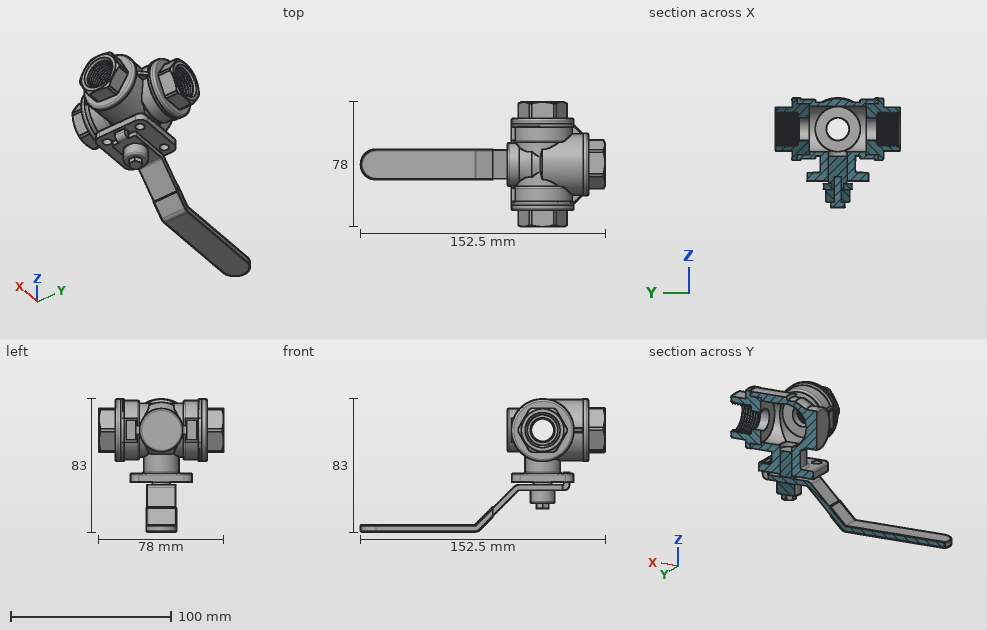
import cadquery as cq
import math


overall_length = 152.5
port_span = 78.0

cap_seat = 25.3
cap_flange_dia = 39.0
cap_flange_thick = 3.4
cap_flange_round = 1.4
hex_flats = 27.3
hex_corner_dia = 30.5
hex_half_sector = 30
hex_end_dia = 26.5
hex_chamfer_length = 1.0
side_port_tilt = -3.5
spigot_dia = 31.5
spigot_length = 7.6
port_bore_dia = 14.0
port_bore_mouth_dia = 15.2
thread_minor_dia = 19.0
thread_major_dia = 20.9
thread_entry_dia = 21.8
thread_pitch = 1.8
thread_turns = 7
thread_lead_in = 1.4

chamber_dia = 28.0
waist_dia = 33.5
barrel_dia = 37.0
barrel_inner_end = 13.7
barrel_round = 1.2
rim_width = 2.3
rim_round = 0.9
side_barrel_dia = 38.5
side_barrel_start = -0.3
side_barrel_taper = 1.4
boss_dia = 27.0
boss_face = 22.0
boss_shoulder = 14.5
boss_round = 1.0
boss_root_dia = 34.6
boss_root_start = 6.7
plate_face = 19.7
plate_height = 15.1
plate_panel_height = 12.2
plate_panel_width = 6.0
plate_panel_depth = 0.3
plate_inner_end = 15.0
bridge_height = 5.2
web_thick = 3.2
web_edge_bevel = 0.5
web_outer = 24.5
web_inner = 19.5
neck_dia = 22.1
neck_round = 1.4
mount_top = -27.0
mount_size = 38.6
mount_thick = 5.5
mount_corner = 5.2
mount_edge_round = 0.9
mount_hole_dia = 6.0
mount_hole_pitch = 25.5

stem_dia = 11.5
stem_top = -16.8
tang_dia = 8.0
collar_dia = 15.4
collar_length = 8.1
collar_round = 1.2
screw_dia = 4.3
screw_engagement = 7.6
screw_head_flats = 8.0
screw_head_height = 3.4
screw_head_chamfer = 0.5

lever_top = -34.0
lever_thick = 3.5
lever_width = 18.0
lever_bend_angle = 45
lever_upper_corner = -16.5
lever_lower_corner = -42.0
upper_bend_radius = 1.5
lower_bend_radius = 0.6
grip_wall = 0.53
grip_start = -31.1
grip_edge_round = 1.0
lever_shoulder = 12.7
lever_shoulder_round = 0.9
stop_width = 7.6
stop_inner = 13.1
stop_thick = 3.7
stop_top = -26.2
stop_bend_radius = 3.4
stop_clearance = 0.3

envelope = 91.5

port_reach = port_span / 2
grip_tip = port_reach - overall_length
cap_flange_end = cap_seat + cap_flange_thick
cap_inner_end = cap_seat - spigot_length
thread_depth = thread_lead_in + thread_turns * thread_pitch
thread_floor = port_reach - thread_depth
rim_inner = cap_seat - rim_width
mount_bottom = mount_top - mount_thick
lever_bottom = lever_top - lever_thick
collar_bottom = lever_bottom - collar_length


def rod_x(dia, start, end):
    return cq.Workplane("YZ", origin=(start, 0, 0)).circle(dia / 2).extrude(end - start)


def rod_y(dia, start, end):
    return cq.Workplane("XZ", origin=(0, start, 0)).circle(dia / 2).extrude(start - end)


def rod_z(dia, start, end):
    return cq.Workplane("XY", origin=(0, 0, start)).circle(dia / 2).extrude(end - start)


def turned_x(points):
    """Solid of revolution about the X axis from (x, radius) points."""
    return cq.Workplane("XZ").polyline(points).close().revolve(360, (0, 0, 0), (1, 0, 0))


def cap_bore():
    """Port bore with the ring grooves of the internal thread."""
    minor = thread_minor_dia / 2
    major = thread_major_dia / 2
    bore = port_bore_dia / 2
    mouth = port_bore_mouth_dia / 2
    points = [
        (cap_inner_end, 0),
        (cap_inner_end, bore),
        (thread_floor - (mouth - bore), bore),
        (thread_floor, mouth),
        (thread_floor, minor),
    ]
    for turn in range(thread_turns):
        groove = thread_floor + turn * thread_pitch
        points += [(groove + thread_pitch / 2, major), (groove + thread_pitch, minor)]
    points += [(port_reach, thread_entry_dia / 2), (port_reach, 0)]
    return turned_x(points)


def end_cap(tilt):
    """Threaded cap on the +X port, its hexagon turned by tilt degrees."""
    hex_length = port_reach - cap_flange_end
    hexagon = (
        cq.Workplane("YZ", origin=(cap_flange_end, 0, 0))
        .polygon(6, hex_flats, circumscribed=True)
        .extrude(hex_length)
        .rotate((0, 0, 0), (1, 0, 0), hex_half_sector)
    )
    corner_turning = turned_x([
        (cap_flange_end, 0),
        (cap_flange_end, hex_corner_dia / 2),
        (port_reach - hex_chamfer_length, hex_corner_dia / 2),
        (port_reach, hex_end_dia / 2),
        (port_reach, 0),
    ])
    flange = rod_x(cap_flange_dia, cap_seat, cap_flange_end).faces(">X").edges().fillet(cap_flange_round)
    spigot = rod_x(spigot_dia, cap_inner_end, cap_seat)
    cap = hexagon.intersect(corner_turning).union(flange).union(spigot).cut(cap_bore())
    return cap.rotate((0, 0, 0), (1, 0, 0), tilt)


def run_barrel(side):
    """Barrel and rim of one of the two ports on the Y axis (side is -1 or 1)."""
    barrel = rod_y(barrel_dia, barrel_inner_end, cap_seat).faces("<Y").edges().fillet(barrel_round)
    rim = rod_y(cap_flange_dia, rim_inner, cap_seat).faces("<Y").edges().fillet(rim_round)
    port = barrel.union(rim)
    return port if side > 0 else port.mirror("XZ")


def side_barrel():
    radius = side_barrel_dia / 2
    return turned_x([
        (side_barrel_start - side_barrel_taper, 0),
        (side_barrel_start - side_barrel_taper, waist_dia / 2),
        (side_barrel_start, radius),
        (cap_seat, radius),
        (cap_seat, 0),
    ])


def back_boss():
    """Round boss on the -X side, flaring towards the waist."""
    boss = turned_x([
        (0, 0),
        (0, boss_root_dia / 2),
        (-boss_root_start, boss_root_dia / 2),
        (-boss_shoulder, boss_dia / 2),
        (-boss_face, boss_dia / 2),
        (-boss_face, 0),
    ])
    return boss.faces("<X").edges().fillet(boss_round)


def back_block(depth, width, height, middle_y):
    """Block from X = -depth to the centre plane."""
    block = cq.Workplane("XY").box(depth, width, height, centered=(False, True, True))
    return block.translate((-depth, middle_y, 0))


def name_plate(side):
    """Flat plate with a sunk panel beside the boss, bridged to the waist and run into the rim."""
    plate_width = rim_inner - plate_inner_end
    plate_middle = plate_inner_end + plate_width / 2
    plate = back_block(plate_face, plate_width, plate_height, plate_middle)
    bridge = back_block(plate_face, plate_inner_end, bridge_height, plate_inner_end / 2)
    rim_strip = rod_y(cap_flange_dia, rim_inner, cap_seat).intersect(
        back_block(plate_face, 2 * cap_seat, plate_height, 0)
    )
    panel_floor = plate_face - plate_panel_depth
    panel = back_block(plate_face, plate_panel_width, plate_panel_height, plate_middle).cut(
        back_block(panel_floor, plate_panel_width, plate_panel_height, plate_middle)
    )
    whole = plate.union(bridge).union(rim_strip).cut(panel)
    return whole if side > 0 else whole.mirror("XZ")


def corner_web(side):
    """Triangular web between a run barrel and the side barrel."""
    web = (
        cq.Workplane("XY", origin=(0, 0, -web_thick / 2))
        .polyline([
            (0, 0),
            (web_outer, 0),
            (web_outer, web_inner),
            (web_inner, web_outer),
            (0, web_outer),
        ])
        .close()
        .extrude(web_thick)
        .faces(">(1,1,0)")
        .edges("|(1,-1,0)")
        .chamfer(web_edge_bevel)
    )
    return web if side > 0 else web.mirror("XZ")


def mounting_flange():
    flange = (
        cq.Workplane("XY", origin=(0, 0, mount_bottom))
        .rect(mount_size, mount_size)
        .extrude(mount_thick)
        .edges("|Z")
        .fillet(mount_corner)
        .faces(">Z")
        .edges()
        .fillet(mount_edge_round)
    )
    neck = rod_z(neck_dia, mount_top, 0)
    neck_foot = cq.selectors.NearestToPointSelector((0, 0, mount_top))
    joined = flange.union(neck).edges(neck_foot).fillet(neck_round)
    holes = (
        cq.Workplane("XY", origin=(0, 0, mount_bottom))
        .rect(mount_hole_pitch, mount_hole_pitch, forConstruction=True)
        .vertices()
        .circle(mount_hole_dia / 2)
        .extrude(mount_thick)
    )
    stop_window = (
        cq.Workplane("XY", origin=(stop_inner + stop_thick / 2, 0, mount_bottom))
        .rect(stop_thick + 2 * stop_clearance, stop_width + 2 * stop_clearance)
        .extrude(mount_thick)
    )
    return joined.cut(holes).cut(stop_window)


def make_housing():
    body = rod_y(waist_dia, -cap_seat, cap_seat).union(side_barrel()).union(back_boss())
    for side in (-1, 1):
        body = body.union(run_barrel(side)).union(name_plate(side)).union(corner_web(side))
    body = body.union(mounting_flange())
    body = body.cut(rod_y(chamber_dia, -cap_seat, cap_seat)).cut(rod_x(chamber_dia, 0, cap_seat))
    body = body.cut(rod_x(spigot_dia, cap_inner_end, cap_seat))
    body = body.cut(rod_y(spigot_dia, cap_inner_end, cap_seat))
    body = body.cut(rod_y(spigot_dia, -cap_seat, -cap_inner_end))
    return body.cut(rod_z(stem_dia, mount_bottom, 0))


def make_screw():
    head_bottom = collar_bottom - screw_head_height
    corner_dia = screw_head_flats / math.cos(math.radians(hex_half_sector))
    shank = rod_z(screw_dia, collar_bottom, lever_bottom + screw_engagement)
    head = (
        cq.Workplane("XY", origin=(0, 0, head_bottom))
        .polygon(6, screw_head_flats, circumscribed=True)
        .extrude(screw_head_height)
    )
    turning = rod_z(corner_dia, head_bottom, collar_bottom).faces("<Z").edges().chamfer(screw_head_chamfer)
    return shank.union(head.intersect(turning))


def make_stem():
    shaft = rod_z(stem_dia, lever_top, stem_top).union(rod_z(tang_dia, lever_bottom, lever_top))
    return shaft.cut(rod_z(screw_dia, lever_bottom, lever_bottom + screw_engagement))


def make_collar():
    collar = rod_z(collar_dia, collar_bottom, lever_bottom).faces("<Z").edges().fillet(collar_round)
    return collar.cut(rod_z(screw_dia, collar_bottom, lever_bottom))


def cranked_strip(skin, start, end, width):
    """Cranked strip from X = start to X = end; skin thickens it on its upper and lower faces."""
    tangent_ratio = math.tan(math.radians(lever_bend_angle) / 2)
    drop = (lever_upper_corner - lever_lower_corner) * math.tan(math.radians(lever_bend_angle))
    upper_outer = upper_bend_radius + lever_thick
    upper_centre = (lever_upper_corner + upper_outer * tangent_ratio, lever_top - upper_outer)
    lower_centre = (
        lever_lower_corner - lower_bend_radius * tangent_ratio,
        lever_top - drop + lower_bend_radius,
    )

    def on_upper(radius, turn):
        angle = math.radians(90 + turn)
        return (upper_centre[0] + radius * math.cos(angle), upper_centre[1] + radius * math.sin(angle))

    def on_lower(radius, turn):
        angle = math.radians(turn - 90)
        return (lower_centre[0] + radius * math.cos(angle), lower_centre[1] + radius * math.sin(angle))

    bend = lever_bend_angle
    upper_top = upper_outer + skin
    upper_under = upper_bend_radius - skin
    lower_top = lower_bend_radius - skin
    lower_under = lower_bend_radius + lever_thick + skin
    outline = (
        cq.Workplane("XZ", origin=(0, width / 2, 0))
        .moveTo(end, lever_top + skin)
        .lineTo(*on_upper(upper_top, 0))
        .threePointArc(on_upper(upper_top, bend / 2), on_upper(upper_top, bend))
        .lineTo(*on_lower(lower_top, bend))
        .threePointArc(on_lower(lower_top, bend / 2), on_lower(lower_top, 0))
        .lineTo(start, on_lower(lower_top, 0)[1])
        .lineTo(start, on_lower(lower_under, 0)[1])
        .lineTo(*on_lower(lower_under, 0))
        .threePointArc(on_lower(lower_under, bend / 2), on_lower(lower_under, bend))
        .lineTo(*on_upper(upper_under, bend))
        .threePointArc(on_upper(upper_under, bend / 2), on_upper(upper_under, 0))
        .lineTo(end, lever_bottom - skin)
        .close()
    )
    strip = outline.extrude(width)
    tip_centre = start + width / 2
    straight = cq.Workplane("XY").box(end - tip_centre, width, 2 * envelope, centered=(False, True, True))
    plan = rod_z(width, -envelope, envelope).union(straight).translate((tip_centre, 0, 0))
    return strip.intersect(plan)


def lever_stop():
    """Narrow tab that turns up from the end of the lever."""
    stop_outer = stop_inner + stop_thick
    tab = (
        cq.Workplane("XZ", origin=(0, stop_width / 2, 0))
        .polyline([
            (0, lever_top),
            (stop_inner, lever_top),
            (stop_inner, stop_top),
            (stop_outer, stop_top),
            (stop_outer, lever_bottom),
            (0, lever_bottom),
        ])
        .close()
        .extrude(stop_width)
    )
    return tab.edges("|Y and >X and <Z").fillet(stop_bend_radius)


def make_lever():
    lever = cranked_strip(0, grip_tip + grip_wall, lever_shoulder, lever_width)
    lever = lever.edges("|Z and >X").fillet(lever_shoulder_round).union(lever_stop())
    return lever.cut(rod_z(tang_dia, lever_bottom, lever_top))


def make_grip():
    """Sleeve over the lower part of the lever, cut off upright part-way up the slope."""
    sleeve = cranked_strip(grip_wall, grip_tip, lever_shoulder, lever_width + 2 * grip_wall)
    sleeve = sleeve.edges("not(|Y or |Z)").fillet(grip_edge_round)
    beyond = (
        cq.Workplane("XY", origin=(grip_start, 0, 0))
        .box(2 * envelope, 2 * envelope, 2 * envelope, centered=(False, True, True))
    )
    core = cranked_strip(0, grip_tip + grip_wall, lever_shoulder, lever_width)
    return sleeve.cut(beyond).cut(core)


housing = make_housing()
caps = [
    end_cap(tilt).rotate((0, 0, 0), (0, 0, 1), heading)
    for heading, tilt in [(-90, 0), (90, 0), (0, side_port_tilt)]
]
stem = make_stem()
collar = make_collar()
screw = make_screw()
lever = make_lever()
grip = make_grip()

result = cq.Compound.makeCompound([
    housing.val(), *[cap.val() for cap in caps],
    stem.val(), collar.val(), screw.val(), lever.val(), grip.val(),
])